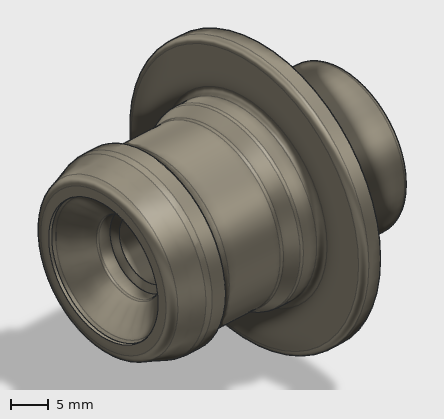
import cadquery as cq
import math

total_length = 43.8

crest_radius = 15.0
crest_start = 5.25
crest_end = 8.2
tip_angle = 19.0
tip_radius = crest_radius - crest_start * math.tan(math.radians(tip_angle))
tip_fillet = 1.4
crest_fillet = 3.0
neck_radius = 13.8
barb_fillet = 2.0

shoulder_start = 19.5
shoulder_end = 22.1
shoulder_fillet = 1.15

flange_radius = 23.1
flange_front = 25.75
flange_back = 28.95
flange_fillet = 0.95
flange_back_chamfer = 0.15

plug_radius = 12.5
plug_end_fillet = 0.75
plug_relief_depth = 0.25
plug_relief_start = flange_back + 0.3
plug_relief_end = flange_back + 0.65

mouth_radius = 10.4
lip_taper = 0.3
lip_straight = 0.55
lip_depth = 1.0
counterbore_radius = 6.2
mouth_depth = 4.75
counterbore_depth = 6.98
hole_radius = 5.15
step_end = 7.65
cone_end_fillet = 0.4


def turned(profile):
    """Revolve a closed (radius, y) profile about the Y axis."""
    return profile.close().revolve(360, (0, 0, 0), (0, 1, 0))


def edge_ring(body, radius, y):
    """Select the circular edges of the given radius at height y."""
    margin = 0.005
    reach = radius + margin
    box = cq.selectors.BoxSelector(
        (-reach, y - margin, -reach), (reach, y + margin, reach), boundingbox=True
    )
    rings = [
        edge for edge in body.edges("%CIRCLE").edges(box).vals()
        if abs(edge.radius() - radius) < margin
    ]
    return body.newObject(rings)


def make_outside():
    rise = crest_radius - neck_radius
    arc_angle = math.acos(1 - rise / barb_fillet)
    arc_end = crest_end + barb_fillet * math.sin(arc_angle)
    arc_middle = (
        neck_radius + barb_fillet * (1 - math.cos(arc_angle / 2)),
        arc_end - barb_fillet * math.sin(arc_angle / 2),
    )
    relief_radius = plug_radius - plug_relief_depth
    body = turned(
        cq.Workplane("XY")
        .moveTo(0, 0)
        .lineTo(tip_radius, 0)
        .lineTo(crest_radius, crest_start)
        .lineTo(crest_radius, crest_end)
        .threePointArc(arc_middle, (neck_radius, arc_end))
        .lineTo(neck_radius, shoulder_start)
        .lineTo(crest_radius, shoulder_end)
        .lineTo(crest_radius, flange_front)
        .lineTo(flange_radius, flange_front)
        .lineTo(flange_radius, flange_back)
        .lineTo(relief_radius, flange_back)
        .lineTo(relief_radius, plug_relief_start)
        .lineTo(plug_radius, plug_relief_end)
        .lineTo(plug_radius, total_length)
        .lineTo(0, total_length)
    )
    rounded_rings = [
        (tip_radius, 0, tip_fillet),
        (crest_radius, crest_start, crest_fillet),
        (neck_radius, shoulder_start, shoulder_fillet),
        (crest_radius, shoulder_end, shoulder_fillet),
        (crest_radius, flange_front, flange_fillet),
        (flange_radius, flange_front, flange_fillet),
        (plug_radius, total_length, plug_end_fillet),
    ]
    for radius, y, fillet in rounded_rings:
        body = edge_ring(body, radius, y).fillet(fillet)
    return edge_ring(body, flange_radius, flange_back).chamfer(flange_back_chamfer)


def make_bore():
    bore = turned(
        cq.Workplane("XY")
        .moveTo(0, 0)
        .lineTo(mouth_radius + lip_taper, 0)
        .lineTo(mouth_radius + lip_taper, lip_straight)
        .lineTo(mouth_radius, lip_depth)
        .lineTo(counterbore_radius, mouth_depth)
        .lineTo(counterbore_radius, counterbore_depth)
        .lineTo(hole_radius, step_end)
        .lineTo(hole_radius, total_length)
        .lineTo(0, total_length)
    )
    return edge_ring(bore, counterbore_radius, mouth_depth).fillet(cone_end_fillet)


result = make_outside().cut(make_bore())